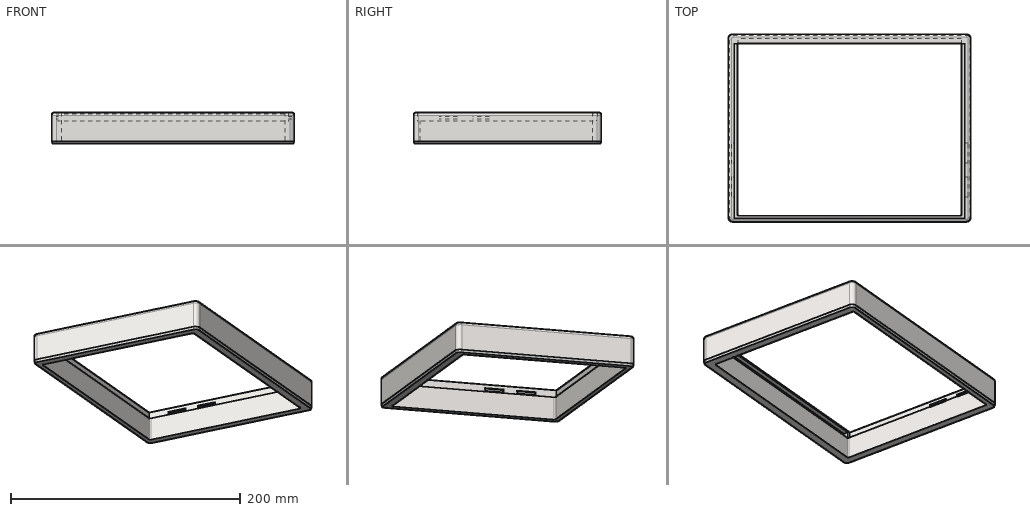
import cadquery as cq

length = 212.0
width = 164.0
height = 27.3

corner_radius = 4.2
top_round = 2.5
bottom_chamfer_height = 2.3
bottom_chamfer_inset = 0.8

side_wall = 8.3
front_wall = 5.5
back_wall = 8.3
inner_corner_radius = 1.0

seat_depth = 7.2
side_rim = 5.5
front_rim = 3.4
back_lip_thickness = 1.3
back_groove_depth = 4.5
back_groove_round = 2.0

pocket_length = 17.4
pocket_height = 2.5
pocket_depth = 2.5
pocket_centers_y = (-51.0, -21.6)
pocket_floor = height - 5.7


def box_between(x_range, y_range, z_range):
    """Axis-aligned box given by its limits along X, Y and Z."""
    sizes = [r[1] - r[0] for r in (x_range, y_range, z_range)]
    corner = (x_range[0], y_range[0], z_range[0])
    return cq.Workplane("XY").box(*sizes, centered=False).translate(corner)


def outer_block():
    block = cq.Workplane("XY").box(length, width, height, centered=(True, True, False))
    block = block.edges("|Z").fillet(corner_radius)
    block = block.faces(">Z").edges().fillet(top_round)
    return block.faces("<Z").edges().chamfer(bottom_chamfer_height, bottom_chamfer_inset)


def opening():
    x_inner = length / 2 - side_wall
    y_range = (front_wall - width / 2, width / 2 - back_wall)
    hole = box_between((-x_inner, x_inner), y_range, (0, height))
    return hole.edges("|Z").fillet(inner_corner_radius)


def panel_seat():
    x_seat = length / 2 - side_rim
    y_front = front_rim - width / 2
    y_back = width / 2 - back_wall
    z_seat = height - seat_depth
    return box_between((-x_seat, x_seat), (y_front, y_back), (z_seat, height))


def back_groove():
    """Groove under the back rim, its floor curving up into its rear face."""
    x_end = length / 2 - side_wall
    y_face = width / 2 - back_wall
    y_range = (y_face - front_wall, y_face + back_groove_depth)
    z_range = (height - seat_depth, height - back_lip_thickness)
    groove = box_between((-x_end, x_end), y_range, z_range)
    return groove.edges(">Y and <Z").fillet(back_groove_round)


def relief_pocket(center_y):
    x_face = length / 2 - side_rim
    y_range = (center_y - pocket_length / 2, center_y + pocket_length / 2)
    z_range = (pocket_floor, pocket_floor + pocket_height)
    return box_between((x_face, x_face + pocket_depth), y_range, z_range)


result = outer_block().cut(opening()).cut(panel_seat()).cut(back_groove())
for pocket_y in pocket_centers_y:
    pocket = relief_pocket(pocket_y)
    result = result.cut(pocket).cut(pocket.mirror("YZ"))